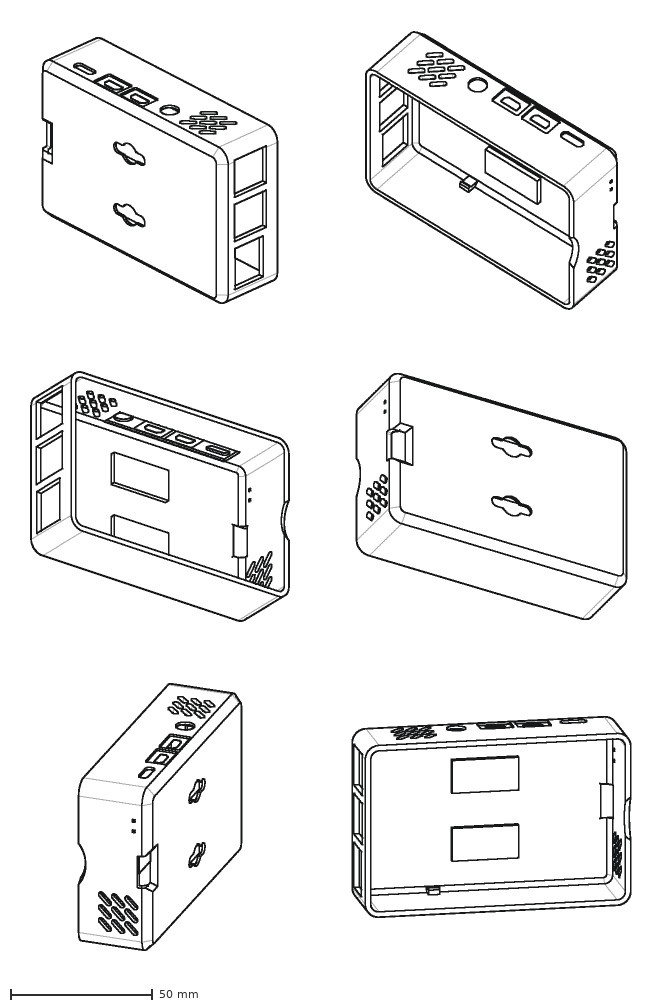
import cadquery as cq
import math


length, depth, width = 96.0, 27.0, 63.0
wall = 2.0
corner_radius = 5.0
edge_chamfer = 3.0
inner_chamfer = edge_chamfer - wall * (2 - math.sqrt(2))

clip_start_x, clip_end_x = 17.1, 21.1
clip_thickness, clip_hook = 1.7, 0.7
hook_bottom, hook_crest, clip_top = 5.8, 6.5, 7.2

keyhole_spacing = 24.9
keyhole_length, keyhole_slot, keyhole_entry = 16.0, 4.0, 8.0
lip, undercut, pad_back = 1.0, 2.0, 1.0
undercut_length = keyhole_length + keyhole_entry - keyhole_slot
pad_length = undercut_length + 2 * wall
pad_width = keyhole_entry + 2 * wall
pad_top = lip + undercut + pad_back

card_z, card_width, card_reach = 0.4, 12.3, 6.0
card_slot_top, card_corner = 4.8, 0.5

usb_c_x, usb_c_y = -31.1, 7.5
usb_c_length, usb_c_height, usb_c_corner = 9.4, 3.5, 1.5
hdmi_x, hdmi_y, hdmi_pitch = -16.4, 7.4, 13.5
hdmi_length, hdmi_height, hdmi_bevel = 7.2, 3.3, 1.2
recess_length, recess_height, recess_depth, recess_corner = 12.0, 7.9, 0.8, 0.8
jack_x, jack_y, jack_diameter = 11.5, 8.8, 6.8

thin_wall = 1.0
thin_start_x, thin_end_x = -36.9, 16.1
thin_start_y = hdmi_y - recess_height / 2
thin_end_y = 12.8

vent_pitch, vent_length, vent_width, vent_count = 5.0, 6.0, 2.0, 3
vent_angle = 45
top_vent_y, side_vent_y = 12.5, 12.0
top_vent_x = 27.6
side_vent_z = -17.0

led_size, led_y = 0.9, 6.1
led_z_places = (20.0, 15.9)

notch_drop, notch_radius, notch_inner_radius = 2.8, 12.8, 11.8

port_openings = (
    (19.4, 15.0, 6.1, 21.6),
    (1.4, 15.0, 6.1, 21.6),
    (-17.3, 16.5, 6.3, 20.0),
)


def y_plane(y):
    """Plane at height y, local x along +X, local y along +Z, extruding toward the base (-Y)."""
    return cq.Workplane("XZ", origin=(0, y, 0))


def block(x_range, y_range, z_range):
    """Axis-aligned box between the given limits."""
    (x0, x1), (y0, y1), (z0, z1) = x_range, y_range, z_range
    return cq.Workplane("XY").box(x1 - x0, y1 - y0, z1 - z0, centered=False).translate((x0, y0, z0))


def tray(inset, chamfer):
    """Rounded block, inset from the outer walls and base, chamfered around the base."""
    body = y_plane(depth).rect(length - 2 * inset, width - 2 * inset).extrude(depth - inset)
    return body.edges("|Y").fillet(corner_radius - inset).faces("<Y").chamfer(chamfer)


def board_clip():
    """Upright with a pointed hook, its back sunk halfway into the base and the -Z wall."""
    back = -width / 2 + wall / 2
    front = -width / 2 + wall + clip_thickness
    profile = cq.Workplane("YZ", origin=(clip_start_x, 0, 0)).polyline(
        [
            (wall / 2, -width / 2 + edge_chamfer),
            (wall / 2, front),
            (hook_bottom, front),
            (hook_crest, front + clip_hook),
            (clip_top, front),
            (clip_top, back),
            (edge_chamfer, back),
        ]
    )
    return profile.close().extrude(clip_end_x - clip_start_x)


def keyhole(z):
    """Slot with a round entry, over a wider undercut for the screw head."""
    entry = y_plane(lip).center(0, z).circle(keyhole_entry / 2).extrude(lip)
    slot = y_plane(lip).center(0, z).slot2D(keyhole_length, keyhole_slot).extrude(lip)
    head = y_plane(lip + undercut).center(0, z).rect(undercut_length, keyhole_entry).extrude(undercut)
    return entry.union(slot).union(head)


def keyhole_pad(z):
    """Thickening of the base that closes the back of a keyhole."""
    x_range = (-pad_length / 2, pad_length / 2)
    z_range = (z - pad_width / 2, z + pad_width / 2)
    return block(x_range, (wall / 2, pad_top), z_range)


def card_access():
    """Bevelled notch through the base, plus a slot through the -X wall."""
    outside = -length / 2 - card_reach
    inner_end = -length / 2 + card_reach
    bevelled = (
        y_plane(0)
        .center((outside + inner_end) / 2, card_z)
        .rect(inner_end - outside + 2 * wall, card_width + 2 * wall)
        .workplane(offset=-wall)
        .rect(inner_end - outside, card_width)
        .loft(ruled=True)
    )
    z_range = (card_z - card_width / 2, card_z + card_width / 2)
    slot = block((outside, inner_end), (wall, card_slot_top), z_range)
    return bevelled.union(slot.edges("|X and >Y").fillet(card_corner))


def top_wall(x, y):
    """Sketch plane on the +Z wall, local x along +X and local y along +Y."""
    return cq.Workplane("XY", origin=(x, y, width / 2))


def side_wall(y, z):
    """Sketch plane on the -X wall, local x along +Y and local y along +Z."""
    return cq.Workplane("YZ", origin=(-length / 2, y, z))


def connector_relief():
    """Pocket on the inner face of the +Z wall that thins it behind the connectors."""
    z_range = (width / 2 - wall, width / 2 - thin_wall)
    return block((thin_start_x, thin_end_x), (thin_start_y, thin_end_y), z_range)


def usb_c_opening():
    hole = top_wall(usb_c_x, usb_c_y).rect(usb_c_length, usb_c_height).extrude(-wall)
    return hole.edges("|Z").fillet(usb_c_corner)


def hdmi_opening(x):
    """Shallow plug recess with a connector hole bevelled on its base side."""
    recess = top_wall(x, hdmi_y).rect(recess_length, recess_height).extrude(-recess_depth)
    recess = recess.edges("|Z").fillet(recess_corner)
    hole = top_wall(x, hdmi_y).rect(hdmi_length, hdmi_height).extrude(-wall)
    return recess.union(hole.edges("|Z and <Y").chamfer(hdmi_bevel))


def jack_opening():
    return top_wall(jack_x, jack_y).circle(jack_diameter / 2).extrude(-wall)


def vents(plane, thickness):
    """Square grid of slanted slots, cut from the plane by a signed thickness."""
    grid = plane.rarray(vent_pitch, vent_pitch, vent_count, vent_count)
    return grid.slot2D(vent_length, vent_width, vent_angle).extrude(thickness)


def finger_notch():
    """Tapered scoop, widest at the outer face, centred beyond the rim."""
    centre_y = depth + notch_radius - notch_drop
    return (
        side_wall(centre_y, 0)
        .circle(notch_radius)
        .workplane(offset=wall)
        .circle(notch_inner_radius)
        .loft(ruled=True)
    )


result = tray(0, edge_chamfer).cut(tray(wall, inner_chamfer))
result = result.union(board_clip())
for z in (-keyhole_spacing / 2, keyhole_spacing / 2):
    result = result.union(keyhole_pad(z)).cut(keyhole(z))
result = result.cut(card_access()).cut(finger_notch())

result = result.cut(connector_relief())
result = result.cut(usb_c_opening()).cut(jack_opening())
for x in (hdmi_x, hdmi_x + hdmi_pitch):
    result = result.cut(hdmi_opening(x))
result = result.cut(vents(top_wall(top_vent_x, top_vent_y), -wall))
result = result.cut(vents(side_wall(side_vent_y, side_vent_z), wall))
for z in led_z_places:
    result = result.cut(side_wall(led_y, z).rect(led_size, led_size).extrude(wall))

for z, opening_width, y_low, y_high in port_openings:
    z_range = (z - opening_width / 2, z + opening_width / 2)
    result = result.cut(block((length / 2 - wall, length / 2), (y_low, y_high), z_range))